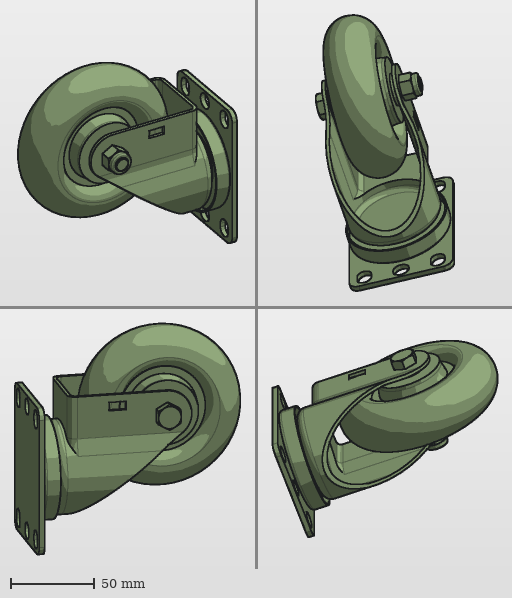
import cadquery as cq
import math


plate_width = 65.0
plate_height = 92.0
plate_thickness = 3.4
plate_corner_radius = 6.0
slot_width = 9.0
slot_height = 11.5
slot_x = 23.0
slot_z = 37.7
round_hole_diameter = 10.0
round_hole_z = 39.0

ring_radius = 31.5
ring_wall = 1.0
ring_front = 13.7
ring_round = 1.8
ring_recess = 4.2
neck_radius = 19.7

sheet = 2.2
bend_radius = 5.3
cup_radius = 28.9
cup_back = 13.2
channel_back = 20.4
channel_half_width = 23.0
flare_top_z = 23.8
window_length = 10.5
window_height = 5.3
window_y = 50.6
window_z = 42.6

axle_y = 81.5
axle_z = 35.0
arm_end_radius = 15.0
cut_angle = math.radians(37.0)
arm_top_z = axle_z + arm_end_radius

wheel_radius = 50.0
tire_half_width = 15.9
web_half_width = 8.5
hub_face_radius = 20.3
hub_root_radius = 21.7
hub_half_width = 18.1
spacer_radius = 10.0

hex_flats = 14.0
head_height = 6.0
nut_height = 7.6
hex_chamfer_height = 0.7
collar_radius = 7.0
collar_length = 3.4
collar_round = 1.0
bolt_radius = 4.5
bolt_end_x = 35.0
bolt_chamfer = 0.5


def facing_front(depth):
    """Sketch plane at a depth from the mounting face; positive extrusions run towards -Y."""
    return cq.Workplane("XZ", origin=(0, -depth, 0))


def across(x):
    """Sketch plane square to the axle, centred on it; positive extrusions run towards +X."""
    return cq.Workplane("YZ", origin=(x, -axle_y, axle_z))


def make_plate():
    plate = facing_front(0).rect(plate_width, plate_height).extrude(plate_thickness)
    plate = plate.edges("|Y").fillet(plate_corner_radius)
    slot_places = [(sx * slot_x, sz * slot_z) for sx in (-1, 1) for sz in (-1, 1)]
    slots = facing_front(0).pushPoints(slot_places).slot2D(slot_height, slot_width, 90)
    holes = facing_front(0).pushPoints([(0, -round_hole_z), (0, round_hole_z)])
    holes = holes.circle(round_hole_diameter / 2)
    return plate.cut(slots.extrude(plate_thickness)).cut(holes.extrude(plate_thickness))


def make_ring():
    """Cup-shaped swivel ring with the neck that carries the fork."""
    depth = ring_front - plate_thickness
    ring = facing_front(plate_thickness).circle(ring_radius).extrude(depth)
    ring = ring.faces(">Y").edges().fillet(ring_round)
    recess = facing_front(ring_front - ring_recess).circle(ring_radius - ring_wall)
    neck = facing_front(plate_thickness).circle(neck_radius)
    neck = neck.extrude(cup_back - plate_thickness)
    return ring.cut(recess.extrude(ring_recess)).union(neck)


def fork_body(inset, top_z):
    """Solid bounded by the fork skin, moved inwards by the inset."""
    radius = cup_radius - inset
    half_width = channel_half_width - inset
    bend = bend_radius - inset
    front = axle_y + arm_end_radius

    cup_depth = cup_back + inset
    cup = facing_front(cup_depth).circle(radius).extrude(front - cup_depth)
    cup = cup.faces(">Y").edges().fillet(bend)

    outer_flare = (
        (channel_half_width**2 + flare_top_z**2 - cup_radius**2)
        / (2 * (cup_radius - channel_half_width))
    )
    flare = outer_flare + inset
    flare_x = half_width + flare
    contact_angle = math.atan2(flare_top_z, flare_x)
    contact_x = radius * math.cos(contact_angle)
    contact_z = radius * math.sin(contact_angle)
    mid_x = flare_x - flare * math.cos(contact_angle / 2)
    mid_z = flare_top_z - flare * math.sin(contact_angle / 2)

    channel_depth = channel_back + inset
    channel = (
        facing_front(channel_depth)
        .moveTo(half_width, top_z)
        .lineTo(half_width, flare_top_z)
        .threePointArc((mid_x, mid_z), (contact_x, contact_z))
        .lineTo(-contact_x, contact_z)
        .threePointArc((-mid_x, mid_z), (-half_width, flare_top_z))
        .lineTo(-half_width, top_z)
        .close()
        .extrude(front - channel_depth)
    )
    channel = channel.faces(">Y").edges("not |X").fillet(bend)
    return cup.union(channel)


def fork_side():
    """Side outline of the fork: rounded arm ends and a slanting lower edge."""
    tangent_y = arm_end_radius * math.sin(cut_angle)
    tangent_z = -arm_end_radius * math.cos(cut_angle)
    bottom_z = -cup_radius - axle_z
    bottom_y = tangent_y - (tangent_z - bottom_z) / math.tan(cut_angle)
    return (
        across(-cup_radius)
        .moveTo(axle_y, arm_end_radius)
        .lineTo(0, arm_end_radius)
        .threePointArc((-arm_end_radius, 0), (-tangent_y, tangent_z))
        .lineTo(-bottom_y, bottom_z)
        .lineTo(axle_y, bottom_z)
        .close()
        .extrude(2 * cup_radius)
    )


def make_fork():
    fork = fork_body(0, arm_top_z).cut(fork_body(sheet, arm_top_z + sheet))
    windows = cq.Workplane("XY").box(2 * cup_radius, window_length, window_height)
    return fork.intersect(fork_side()).cut(windows.translate((0, -window_y, window_z)))


def make_wheel():
    tire_centre = wheel_radius - tire_half_width
    lip_radius = tire_half_width - web_half_width
    web_radius = tire_centre - lip_radius
    diagonal = math.sqrt(0.5)
    lip_mid_x = web_half_width + lip_radius * diagonal
    lip_mid_r = tire_centre - lip_radius * diagonal
    profile = (
        cq.Workplane("XY")
        .moveTo(-hub_half_width, 0)
        .lineTo(-hub_half_width, hub_face_radius)
        .lineTo(-tire_half_width, hub_face_radius)
        .lineTo(-web_half_width, hub_root_radius)
        .lineTo(-web_half_width, web_radius)
        .threePointArc((-lip_mid_x, lip_mid_r), (-tire_half_width, tire_centre))
        .threePointArc((0, wheel_radius), (tire_half_width, tire_centre))
        .threePointArc((lip_mid_x, lip_mid_r), (web_half_width, web_radius))
        .lineTo(web_half_width, hub_root_radius)
        .lineTo(tire_half_width, hub_face_radius)
        .lineTo(hub_half_width, hub_face_radius)
        .lineTo(hub_half_width, 0)
        .close()
    )
    wheel = profile.revolve(360, (0, 0, 0), (1, 0, 0)).translate((0, -axle_y, axle_z))
    spacer_end = channel_half_width - sheet
    spacer = across(-spacer_end).circle(spacer_radius).extrude(2 * spacer_end)
    return wheel.union(spacer)


def make_hex(height, outward):
    """Hexagon seated on a fork arm, its outer corners turned off to a cone."""
    corner_radius = hex_flats / math.sqrt(3)
    flat_radius = hex_flats / 2
    seat = outward * channel_half_width
    hexagon = across(seat).transformed(rotate=(0, 0, 90))
    hexagon = hexagon.polygon(6, 2 * corner_radius).extrude(outward * height)
    envelope = across(seat).circle(corner_radius).extrude(outward * height)
    outer_edge = envelope.faces(">X" if outward > 0 else "<X").edges()
    envelope = outer_edge.chamfer(hex_chamfer_height, corner_radius - flat_radius)
    return hexagon.intersect(envelope)


def make_axle():
    head = make_hex(head_height, -1)
    nut = make_hex(nut_height, 1)
    collar = across(channel_half_width + nut_height).circle(collar_radius)
    collar = collar.extrude(collar_length).faces(">X").edges().fillet(collar_round)
    shank = across(-channel_half_width).circle(bolt_radius)
    shank = shank.extrude(channel_half_width + bolt_end_x)
    shank = shank.faces(">X").edges().chamfer(bolt_chamfer)
    return head.union(nut).union(collar).union(shank)


result = make_plate().union(make_ring()).union(make_fork()).union(make_wheel()).union(make_axle())